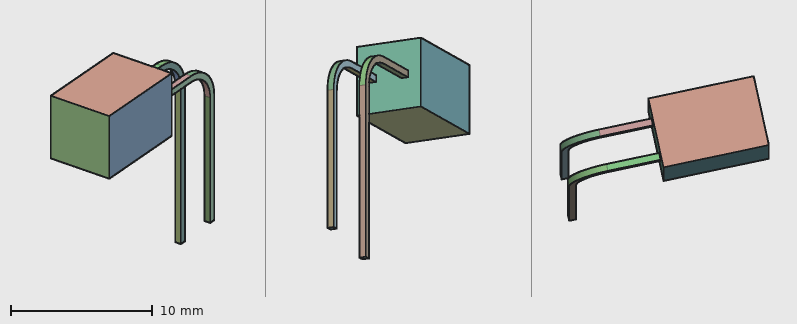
import cadquery as cq

total_height = 17.78
lead_pitch = total_height / 7

body_width = 2 * lead_pitch
body_height = 2 * lead_pitch
body_length = 3 * lead_pitch

lead_thickness = lead_pitch / 5
lead_run = 1.5 * lead_pitch
bend_radius = lead_pitch
long_drop = total_height - body_height
short_drop = long_drop - lead_pitch


def make_body():
    """Plain block with its back face on Y = 0, centred on the X axis."""
    return cq.Workplane("XY").box(body_width, body_length, body_height).translate(
        (0, -body_length / 2, 0)
    )


def make_lead(x, drop):
    """Square lead leaving the back face, bending down and dropping straight."""
    half = lead_thickness / 2
    outer_radius = bend_radius + half
    inner_radius = bend_radius - half
    bend_end_z = -bend_radius
    tip_z = bend_end_z - drop
    return (
        cq.Workplane("YZ", origin=(x - half, 0, 0))
        .moveTo(0, half)
        .lineTo(lead_run, half)
        .radiusArc((lead_run + outer_radius, bend_end_z), outer_radius)
        .lineTo(lead_run + outer_radius, tip_z)
        .lineTo(lead_run + inner_radius, tip_z)
        .lineTo(lead_run + inner_radius, bend_end_z)
        .radiusArc((lead_run, -half), -inner_radius)
        .lineTo(0, -half)
        .close()
        .extrude(lead_thickness)
    )


long_lead = make_lead(-lead_pitch / 2, long_drop)
short_lead = make_lead(lead_pitch / 2, short_drop)

result = make_body().union(long_lead).union(short_lead)